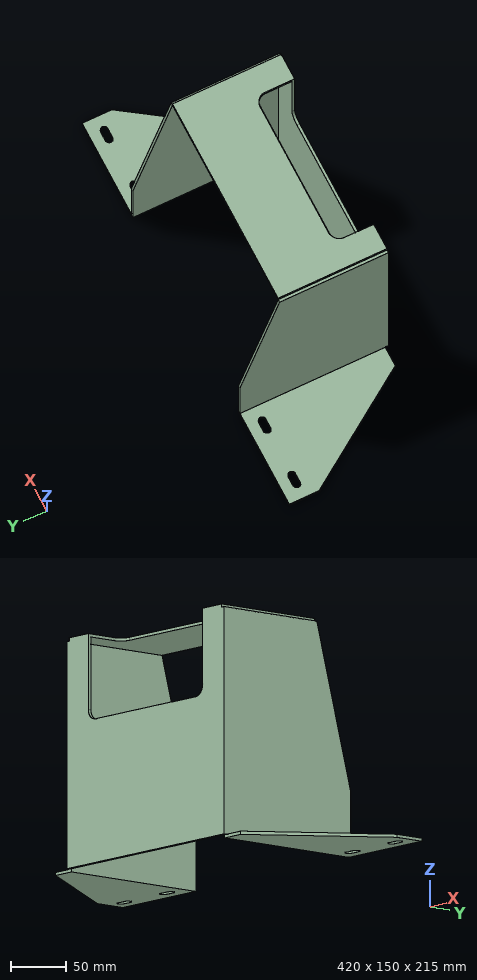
import cadquery as cq

sheet = 3.0
overall_width = 420.0
overall_depth = 150.0
overall_height = 215.0

housing_width = 220.0
top_depth = 110.0
back_edge_top = 60.0
lip_overlap = 0.05

window_width = 160.0
window_drop = 80.0
window_reach = 40.0
window_radius = 10.0

flange_outer_side = 30.0
flange_front_corner = 130.0
slot_length = 17.0
slot_width = 7.0
slot_from_back = 15.0
slot_positions = (130.0, 190.0)

half_housing = housing_width / 2
half_inside = half_housing - sheet
wall_top = overall_height - sheet
wall_height = wall_top - sheet


def front_wall():
    """Upright front plate, standing level with the flange tops."""
    return cq.Workplane("XY").box(
        housing_width, sheet, wall_height, centered=(True, False, False)
    ).translate((0, 0, sheet))


def top_plate():
    """Flat top plate, set in from the outer faces of the side walls."""
    width = 2 * (half_inside + lip_overlap)
    return cq.Workplane("XY").box(
        width, top_depth, sheet, centered=(True, False, False)
    ).translate((0, 0, wall_top))


def right_side_wall():
    """Side wall on +X, with its back edge leaning forward up to the top plate."""
    return (
        cq.Workplane("YZ", origin=(half_inside, 0, 0))
        .moveTo(0, sheet)
        .lineTo(overall_depth, sheet)
        .lineTo(overall_depth, back_edge_top)
        .lineTo(top_depth, wall_top)
        .lineTo(0, wall_top)
        .close()
        .extrude(sheet)
    )


def right_flange():
    """Slotted mounting flange under the +X side wall."""
    half_width = overall_width / 2
    plate = (
        cq.Workplane("XY")
        .moveTo(half_inside, sheet)
        .lineTo(flange_front_corner, sheet)
        .lineTo(half_width, overall_depth - flange_outer_side)
        .lineTo(half_width, overall_depth)
        .lineTo(half_inside, overall_depth)
        .close()
        .extrude(sheet)
    )
    slots = (
        cq.Workplane("XY")
        .pushPoints([(x, overall_depth - slot_from_back) for x in slot_positions])
        .slot2D(slot_length, slot_width)
        .extrude(sheet)
    )
    return plate.cut(slots)


def window():
    """Opening that wraps over the front top edge, rounded at its inner corners."""
    front_opening = (
        cq.Workplane("XY")
        .box(window_width, sheet, window_drop, centered=(True, False, False))
        .translate((0, 0, overall_height - window_drop))
        .edges("|Y and <Z")
        .fillet(window_radius)
    )
    top_opening = (
        cq.Workplane("XY")
        .box(window_width, window_reach, sheet, centered=(True, False, False))
        .translate((0, 0, wall_top))
        .edges("|Z and >Y")
        .fillet(window_radius)
    )
    return front_opening.union(top_opening)


right_half = right_side_wall().union(right_flange())
left_half = right_half.mirror("YZ")
result = front_wall().union(top_plate()).union(right_half).union(left_half).cut(window())